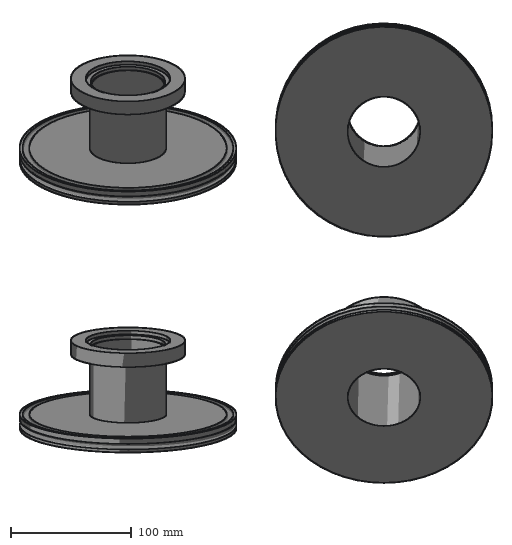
import cadquery as cq

total_height = 75.0
flange_thickness = 11.9

base_diameter = 180
rim_groove_radius = 2.3
rim_groove_height = 5.0
face_groove_outer_diameter = 175.0
face_groove_inner_diameter = 164.0
face_groove_depth = 1.5
face_groove_fillet = 0.5

tube_diameter = 63.8
bore_diameter = 60.2

top_diameter = 94.9
seat_diameter = 70.0
seat_depth = 3.0
counterbore_diameter = 61.8
counterbore_depth = 3.0


def cylinder(diameter, bottom, height):
    """Upright cylinder on the part axis."""
    return cq.Workplane("XY").workplane(offset=bottom).circle(diameter / 2).extrude(height)


def rim_groove():
    """Ring of circular section centred on the rim of the base flange."""
    return (
        cq.Workplane("XZ")
        .center(base_diameter / 2, rim_groove_height)
        .circle(rim_groove_radius)
        .revolve(360, (-base_diameter / 2, 0, 0), (-base_diameter / 2, 1, 0))
    )


def face_groove():
    """Shallow ring in the top of the base flange, with rounded corners at its floor."""
    floor = flange_thickness - face_groove_depth
    disc = cylinder(face_groove_outer_diameter, floor, face_groove_depth)
    core = cylinder(face_groove_inner_diameter, floor, face_groove_depth)
    return disc.cut(core).faces("<Z").edges().fillet(face_groove_fillet)


base = cylinder(base_diameter, 0, flange_thickness).cut(rim_groove()).cut(face_groove())
tube = cylinder(tube_diameter, 0, total_height)
top_flange = cylinder(top_diameter, total_height - flange_thickness, flange_thickness)

seat_floor = total_height - seat_depth
bore = cylinder(bore_diameter, 0, total_height)
seat = cylinder(seat_diameter, seat_floor, seat_depth)
counterbore = cylinder(counterbore_diameter, seat_floor - counterbore_depth, counterbore_depth)

result = base.union(tube).union(top_flange).cut(bore).cut(seat).cut(counterbore)